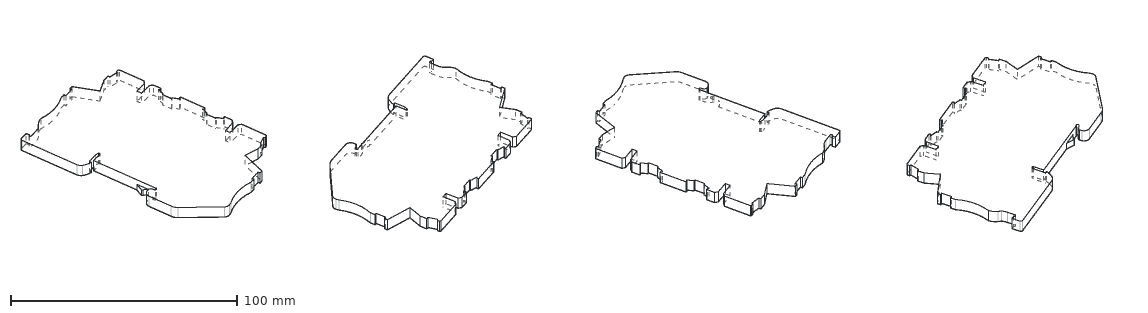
import cadquery as cq


THICKNESS = 6.1
HEIGHT = 62.3
HALF_WIDTH = 50.3

HEAD_HALF = 38.9
HEAD_BEAD = 0.4
BEAD_BOTTOM = HEIGHT - 1.9
NECK_HALF = 39.8
LEDGE_HALF = 40.8
LEDGE_TOP = 56.1
LEDGE_BOTTOM = 52.8
CROOK_HALF = 38.4
CROOK_Y = 46.1
SHOULDER_Y = 41.6

NOTCH_DEPTH = 1.0
NOTCH_TOP = 40.0
NOTCH_BOTTOM = 35.2
WAIST_TOP = 32.8
WAIST_BOTTOM = 16.5
WAIST_DEPTH = 1.5
WAIST_MID = (WAIST_TOP + WAIST_BOTTOM) / 2

RIGHT_TIP = (50.5, 15.1)
RIGHT_TIP_END = (49.4, 12.8)
RIGHT_TIP_MID = (50.2, 13.8)
RIGHT_BASE_Y = 0.3
RAMP_END = (32.5, 1.2)
RAMP_MID = (31.0, 0.5)
RIGHT_BASE_END = 29.4

HOOK_LEFT = 15.0
HOOK_BASE_START = 17.7
HOOK_LOWER_Y = 2.7
HOOK_LOWER_MID = (15.7, 1.2)
HOOK_UPPER_Y = 3.9
HOOK_UPPER_MID = (15.4, 4.6)
HOOK_TOP = (16.5, 5.1)
RELIEF_RADIUS = 0.7
RAIL_SEAT_Y = 6.3
RELIEF_X = 17.1
RELIEF_Y = HOOK_TOP[1] + RELIEF_RADIUS

FOOT_CORNER_RADIUS = 0.9
FOOT_LIP_Y = 4.8
FOOT_GROOVE_LEFT = 48.7
FOOT_GROOVE_RIGHT = 47.6
FOOT_GROOVE_Y = 4.2
FOOT_FLANK_TOP = 8.5
FOOT_FLANK_MID = (-47.7, 9.9)
FOOT_CHIN = (-48.1, 11.2)
LEFT_CORNER = (-49.0, 12.5)
LEFT_CORNER_MID = (-49.9, 14.3)
CLAW_TIP_X = -15.8
CLAW_BASE_X = -20.2
CLAW_HEEL = (-18.0, 0.9)
CLAW_HEEL_MID = (-19.0, 0.3)
CLAW_MID = (-16.7, 2.7)
SLIT_LEFT = -16.9
SLIT_RIGHT = -15.6
SLIT_NARROW_LEFT = -16.5
SLIT_SHOULDER_Y = 10.0
SLIT_TOP = 11.8
SLIT_CORNER = 0.3

SLOT_INNER = 22.1
SLOT_OUTER = 24.7
SLOT_TAPER = 0.2
SLOT_FLOOR = 54.9
SLOT_LEAD_IN = 1.2

TROUGH_CENTRE = 11.7
TROUGH_MOUTH_HALF = 5.1
TROUGH_UNDERCUT_HALF = 5.6
TROUGH_FLOOR_HALF = 2.4
TROUGH_LIP_Y = HEIGHT - 0.8
TROUGH_UNDERCUT_Y = HEIGHT - 1.2
TROUGH_SLOPE_END_Y = HEIGHT - 2.4
TROUGH_FLOOR_Y = HEIGHT - 3.0

BARB_HEIGHT = 3.4
BARB_LEFT = 7.3
BARB_RIGHT = 13.5
BARB_TIP = (11.0, 4.4)
BARB_TIP_END = (11.6, 4.8)
BARB_BACK_MID = (12.3, 5.7)
BARB_OVERLAP = 1.0


def upper_flank(side):
    """Points from the waist up to the flat top on one side (side is -1 or 1)."""
    half_profile = [
        (HALF_WIDTH, WAIST_TOP),
        (HALF_WIDTH, NOTCH_BOTTOM),
        (HALF_WIDTH - NOTCH_DEPTH, NOTCH_BOTTOM),
        (HALF_WIDTH - NOTCH_DEPTH, NOTCH_TOP),
        (HALF_WIDTH, NOTCH_TOP),
        (HALF_WIDTH, SHOULDER_Y),
        (CROOK_HALF, CROOK_Y),
        (LEDGE_HALF, LEDGE_BOTTOM),
        (LEDGE_HALF, LEDGE_TOP),
        (NECK_HALF, LEDGE_TOP),
        (HEAD_HALF - HEAD_BEAD / 2, BEAD_BOTTOM),
        (HEAD_HALF + HEAD_BEAD, BEAD_BOTTOM + HEAD_BEAD),
        (HEAD_HALF + HEAD_BEAD, HEIGHT - HEAD_BEAD),
        (HEAD_HALF, HEIGHT),
    ]
    return [(side * x, y) for x, y in half_profile]


def make_plate():
    """Full-thickness plate with the flanks, the feet and the rail seat."""
    waist_half = HALF_WIDTH - WAIST_DEPTH
    outline = (
        cq.Workplane("XY")
        .moveTo(*FOOT_CHIN)
        .lineTo(*LEFT_CORNER)
        .threePointArc(LEFT_CORNER_MID, (-HALF_WIDTH, WAIST_BOTTOM))
        .threePointArc((-waist_half, WAIST_MID), (-HALF_WIDTH, WAIST_TOP))
        .polyline(upper_flank(-1)[1:], includeCurrent=True)
        .polyline(upper_flank(1)[::-1], includeCurrent=True)
        .threePointArc((waist_half, WAIST_MID), (HALF_WIDTH, WAIST_BOTTOM))
        .lineTo(*RIGHT_TIP)
        .threePointArc(RIGHT_TIP_MID, RIGHT_TIP_END)
        .lineTo(*RAMP_END)
        .threePointArc(RAMP_MID, (RIGHT_BASE_END, RIGHT_BASE_Y))
        .lineTo(HOOK_BASE_START, RIGHT_BASE_Y)
        .threePointArc(HOOK_LOWER_MID, (HOOK_LEFT, HOOK_LOWER_Y))
        .lineTo(HOOK_LEFT, HOOK_UPPER_Y)
        .threePointArc(HOOK_UPPER_MID, HOOK_TOP)
        .lineTo(RELIEF_X, HOOK_TOP[1])
        .threePointArc((RELIEF_X + RELIEF_RADIUS, RELIEF_Y), (RELIEF_X, RELIEF_Y + RELIEF_RADIUS))
        .lineTo(RELIEF_X, RAIL_SEAT_Y)
        .lineTo(SLIT_RIGHT, RAIL_SEAT_Y)
        .lineTo(SLIT_RIGHT, SLIT_TOP - SLIT_CORNER)
        .lineTo(SLIT_RIGHT - SLIT_CORNER, SLIT_TOP)
        .lineTo(SLIT_NARROW_LEFT + SLIT_CORNER, SLIT_TOP)
        .lineTo(SLIT_NARROW_LEFT, SLIT_TOP - SLIT_CORNER)
        .lineTo(SLIT_LEFT, SLIT_SHOULDER_Y)
        .lineTo(SLIT_LEFT, FOOT_LIP_Y)
        .lineTo(CLAW_TIP_X, FOOT_LIP_Y)
        .threePointArc(CLAW_MID, CLAW_HEEL)
        .threePointArc(CLAW_HEEL_MID, (CLAW_BASE_X, 0))
        .lineTo(FOOT_CORNER_RADIUS - HALF_WIDTH, 0)
        .radiusArc((-HALF_WIDTH, FOOT_CORNER_RADIUS), FOOT_CORNER_RADIUS)
        .lineTo(-HALF_WIDTH, FOOT_LIP_Y)
        .lineTo(-FOOT_GROOVE_LEFT, FOOT_LIP_Y)
        .threePointArc(
            (-(FOOT_GROOVE_LEFT + FOOT_GROOVE_RIGHT) / 2, FOOT_GROOVE_Y),
            (-FOOT_GROOVE_RIGHT, FOOT_LIP_Y),
        )
        .lineTo(-FOOT_GROOVE_RIGHT, FOOT_FLANK_TOP)
        .threePointArc(FOOT_FLANK_MID, FOOT_CHIN)
        .close()
    )
    return outline.extrude(THICKNESS)


def marking_slot(side):
    """Narrow tapered slot with a chamfered mouth."""
    half_profile = [
        (SLOT_INNER - SLOT_LEAD_IN, HEIGHT),
        (SLOT_INNER, HEIGHT - SLOT_LEAD_IN),
        (SLOT_INNER + SLOT_TAPER, SLOT_FLOOR),
        (SLOT_OUTER, SLOT_FLOOR),
        (SLOT_OUTER, HEIGHT - SLOT_LEAD_IN),
        (SLOT_OUTER + SLOT_LEAD_IN, HEIGHT),
    ]
    points = [(side * x, y) for x, y in half_profile]
    return cq.Workplane("XY").polyline(points).close().extrude(THICKNESS)


def label_trough(side):
    """Shallow trough with undercut lips, sloped sides and a flat floor."""
    half_profile = [
        (TROUGH_MOUTH_HALF, HEIGHT),
        (TROUGH_MOUTH_HALF, TROUGH_LIP_Y),
        (TROUGH_UNDERCUT_HALF, TROUGH_UNDERCUT_Y),
        (TROUGH_FLOOR_HALF, TROUGH_SLOPE_END_Y),
        (TROUGH_FLOOR_HALF, TROUGH_FLOOR_Y),
    ]
    centre = side * TROUGH_CENTRE
    right_half = [(centre + x, y) for x, y in half_profile]
    left_half = [(centre - x, y) for x, y in reversed(half_profile)]
    return cq.Workplane("XY").polyline(right_half + left_half).close().extrude(THICKNESS)


def spring_barb():
    """Pointed barb hanging below the rail seat."""
    return (
        cq.Workplane("XY")
        .moveTo(BARB_LEFT, RAIL_SEAT_Y)
        .lineTo(*BARB_TIP)
        .lineTo(*BARB_TIP_END)
        .threePointArc(BARB_BACK_MID, (BARB_RIGHT, RAIL_SEAT_Y))
        .lineTo(BARB_RIGHT, RAIL_SEAT_Y + BARB_OVERLAP)
        .lineTo(BARB_LEFT, RAIL_SEAT_Y + BARB_OVERLAP)
        .close()
        .extrude(BARB_HEIGHT)
    )


result = make_plate().union(spring_barb())
for side in (-1, 1):
    result = result.cut(marking_slot(side))
    result = result.cut(label_trough(side))